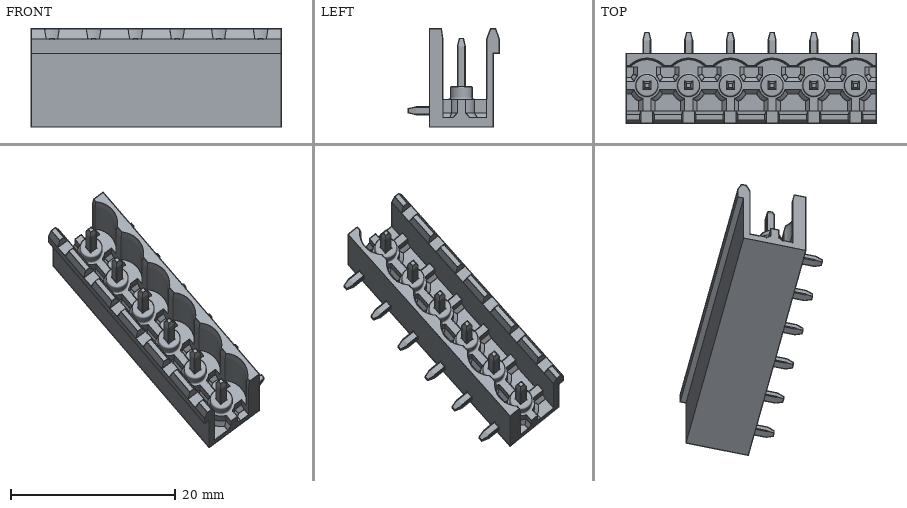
import cadquery as cq

pin_count = 6
pitch = 5.08
length = pin_count * pitch
pin_places = [(i - (pin_count - 1) / 2) * pitch for i in range(pin_count)]

depth = 7.8
height = 12.0
back_y = depth / 2
front_y = -depth / 2
back_wall = 1.65
front_wall = 0.83
back_inner_y = back_y - back_wall
front_inner_y = front_y + front_wall
floor_z = 1.2

lead_in_depth = 1.27
lead_in_z = height - lead_in_depth
lead_in_offset = 0.18

hook_out = 0.72
hook_y = front_y - hook_out
hook_bottom_z = 9.0
hook_tip_inner_y = -3.55
hook_tip_outer_y = -4.17

notch_bottom_width = 1.4
notch_top_width = 1.8

rib_width = 1.0
block_width = 2.3
column_radius = 1.65
rib_top_z = 3.4
foot_height = 0.55
foot_spread = 0.5

collar_radius = 1.35
collar_top_z = 4.94
collar_round = 0.18

scallop_center_y = 0.4
scallop_radius = 2.75
scallop_top_radius = scallop_radius + lead_in_offset

pin_width = 1.0
pin_edge_chamfer = 0.1
pin_tip_width = 0.5
pin_taper = 1.0
pin_top_z = 10.8
tail_z = 2.0
tail_length = 2.58
tail_end_y = back_y + tail_length


def shell():
    """U-shaped housing profile with the hook, extruded along the row."""
    profile = [
        (back_y, 0),
        (back_y, height),
        (back_inner_y + lead_in_offset, height),
        (back_inner_y, lead_in_z),
        (back_inner_y, floor_z),
        (front_inner_y, floor_z),
        (front_inner_y, lead_in_z),
        (hook_tip_inner_y, height),
        (hook_tip_outer_y, height),
        (hook_y, lead_in_z),
        (hook_y, hook_bottom_z),
        (front_y, hook_bottom_z),
        (front_y, 0),
    ]
    return cq.Workplane("YZ").polyline(profile).close().extrude(length / 2, both=True)


def footed_bar(x_center, y_center, x_size, y_size, spread_x, spread_y):
    """Upright bar on the floor whose foot spreads outwards along X or Y."""
    bar = (
        cq.Workplane("XY", origin=(x_center, y_center, floor_z))
        .rect(x_size, y_size)
        .extrude(rib_top_z - floor_z)
    )
    foot = (
        cq.Workplane("XY", origin=(x_center, y_center, floor_z))
        .rect(x_size + 2 * spread_x, y_size + 2 * spread_y)
        .workplane(offset=foot_height)
        .rect(x_size, y_size)
        .loft(ruled=True)
    )
    return bar.union(foot)


def column_and_collar(x):
    """Round column with a spreading foot, topped by a collar with a rounded root and rim."""
    collar_round_mid = collar_round * (1 - 0.5**0.5)
    root_radius = collar_radius + collar_round
    rim_radius = collar_radius - collar_round
    return (
        cq.Workplane("XZ", origin=(x, 0, 0))
        .moveTo(0, floor_z)
        .lineTo(column_radius + foot_spread, floor_z)
        .lineTo(column_radius, floor_z + foot_height)
        .lineTo(column_radius, rib_top_z)
        .lineTo(root_radius, rib_top_z)
        .threePointArc(
            (collar_radius + collar_round_mid, rib_top_z + collar_round_mid),
            (collar_radius, rib_top_z + collar_round),
        )
        .lineTo(collar_radius, collar_top_z - collar_round)
        .threePointArc(
            (collar_radius - collar_round_mid, collar_top_z - collar_round_mid),
            (rim_radius, collar_top_z),
        )
        .lineTo(0, collar_top_z)
        .close()
        .revolve(360, (0, 0, 0), (0, 1, 0))
    )


def scallop(x):
    """Round cut into the back wall, behind the pin and flared at the mouth."""
    return (
        cq.Workplane("XZ", origin=(x, scallop_center_y, 0))
        .moveTo(0, rib_top_z)
        .lineTo(scallop_radius, rib_top_z)
        .lineTo(scallop_radius, lead_in_z)
        .lineTo(scallop_top_radius, height)
        .lineTo(0, height)
        .close()
        .revolve(360, (0, 0, 0), (0, 1, 0))
        .intersect(scallop_limit())
    )


def scallop_limit():
    """Space behind the pins, which keeps the scallops out of the front wall."""
    return cq.Workplane("XY").box(length, back_y, height, centered=(True, False, False))


def notch(x):
    """Notch through the hook, wider at its top."""
    half_bottom = notch_bottom_width / 2
    half_top = notch_top_width / 2
    return (
        cq.Workplane("XZ", origin=(x, 0, 0))
        .moveTo(-half_bottom, lead_in_z)
        .lineTo(half_bottom, lead_in_z)
        .lineTo(half_top, height)
        .lineTo(-half_top, height)
        .close()
        .extrude(-hook_y)
    )


def square_bar(bar_length):
    """Sharp-edged square bar along Z from the origin."""
    return cq.Workplane("XY").rect(pin_width, pin_width).extrude(bar_length)


def tapered_bar(bar_length):
    """Square bar along Z from the origin, with chamfered long edges and a tapered tip."""
    tip = (
        cq.Workplane("XY", origin=(0, 0, bar_length - pin_taper))
        .rect(pin_width, pin_width)
        .workplane(offset=pin_taper)
        .rect(pin_tip_width, pin_tip_width)
        .loft(ruled=True)
    )
    outline = square_bar(bar_length - pin_taper).union(tip)
    return square_bar(bar_length).edges("|Z").chamfer(pin_edge_chamfer).intersect(outline)


def bent_bar(x, make_bar):
    """L-shaped bar: an upright post and a tail through the back wall, sharing the heel."""
    heel = pin_width / 2
    post = make_bar(pin_top_z - tail_z + heel).translate((x, 0, tail_z - heel))
    tail = (
        make_bar(tail_end_y + heel)
        .rotate((0, 0, 0), (1, 0, 0), -90)
        .translate((x, -heel, tail_z))
    )
    return post.union(tail)


def make_pin(x):
    return bent_bar(x, tapered_bar)


def pin_hole(x):
    """Sharp-cornered square passage that holds one pin."""
    return bent_bar(x, square_bar)


def make_housing():
    """Walls, floor, ribs, columns and collars as one body, with a hole for each pin."""
    body = shell()
    for x in pin_places:
        body = body.cut(scallop(x)).cut(notch(x))
    body = body.union(footed_bar(0, 0, length, rib_width, 0, foot_spread))
    for x in pin_places:
        body = body.union(footed_bar(x, back_inner_y / 2, block_width, back_inner_y, foot_spread, 0))
        body = body.union(footed_bar(x, front_inner_y / 2, rib_width, -front_inner_y, foot_spread, 0))
        body = body.union(column_and_collar(x))
    for x in pin_places:
        body = body.cut(pin_hole(x))
    return body


housing = make_housing()
pins = [make_pin(x) for x in pin_places]

result = cq.Compound.makeCompound([housing.solids().val(), *[pin.solids().val() for pin in pins]])